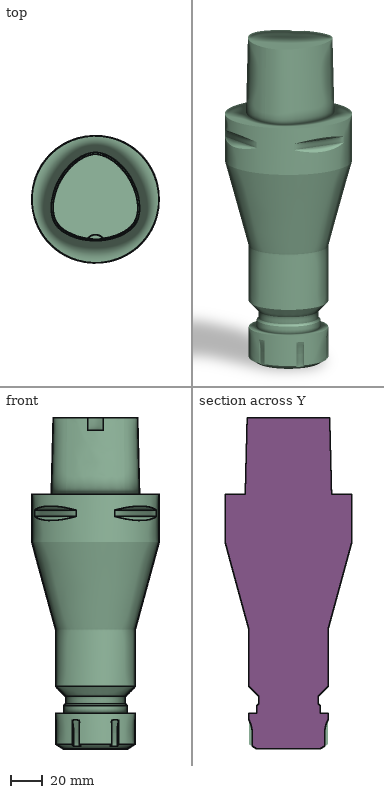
import cadquery as cq
import math

TOTAL_HEIGHT = 208.0
FLANGE_TOP = 160.0
FLANGE_BOTTOM = 130.0
BODY_TOP = 75.0
BODY_BOTTOM = 39.25
COLLAR_TOP = 27.25
NUT_TOP = 22.5
NUT_CHAMFER_HEIGHT = 3.0

FLANGE_RADIUS = 40.0
BODY_RADIUS = 25.0
NUT_RADIUS = 25.0
NECK_RADIUS = 18.75
COLLAR_RADIUS = 20.0
NUT_FACE_RADIUS = 20.0

NECK_TOP = BODY_BOTTOM - (BODY_RADIUS - NECK_RADIUS)
NECK_BOTTOM = COLLAR_TOP + (COLLAR_RADIUS - NECK_RADIUS)

SHANK_BASE_RADIUS = 27.75
SHANK_LOBE_RISE = 1.75
SHANK_HEIGHT = TOTAL_HEIGHT - FLANGE_TOP
SHANK_TAPER = 1 / 40
LOBE_COUNT = 3
FIRST_LOBE_ANGLE = 90.0
POINTS_PER_FACE = 7

NOTCH_RADIUS = 6.0
NOTCH_DEPTH = 8.0
NOTCH_CENTER_Y = -28.2

GROOVE_COUNT = 4
GROOVE_FIRST_ANGLE = 45.0
GROOVE_HEIGHT = 148.0
GROOVE_FLOOR_DISTANCE = 35.5
GROOVE_FLOOR_WIDTH = 3.9
GROOVE_FLANK_ANGLE = 30.0

SLOT_COUNT = 6
SLOT_WIDTH = 5.0
SLOT_FLOOR_DISTANCE = 22.9
SLOT_FLOOR_TOP = 10.1
SLOT_TOP = 18.3

CUT_MARGIN = 1.0


def make_turned_body():
    """Revolve the flange, cone, body, neck and nut about Z."""
    profile = [
        (0, 0),
        (NUT_FACE_RADIUS, 0),
        (NUT_RADIUS, NUT_CHAMFER_HEIGHT),
        (NUT_RADIUS, NUT_TOP),
        (COLLAR_RADIUS, NUT_TOP),
        (COLLAR_RADIUS, COLLAR_TOP),
        (NECK_RADIUS, NECK_BOTTOM),
        (NECK_RADIUS, NECK_TOP),
        (BODY_RADIUS, BODY_BOTTOM),
        (BODY_RADIUS, BODY_TOP),
        (FLANGE_RADIUS, FLANGE_BOTTOM),
        (FLANGE_RADIUS, FLANGE_TOP),
        (0, FLANGE_TOP),
    ]
    return cq.Workplane("XZ").polyline(profile).close().revolve(360, (0, 0), (0, 1))


def shank_point(normal_angle, mean_radius, height):
    """Point of the constant-width lobed outline whose outward normal has the given angle."""
    angle = math.radians(normal_angle)
    lobe_phase = LOBE_COUNT * math.radians(normal_angle - FIRST_LOBE_ANGLE)
    reach = mean_radius + SHANK_LOBE_RISE * math.cos(lobe_phase)
    sideways = -LOBE_COUNT * SHANK_LOBE_RISE * math.sin(lobe_phase)
    x = reach * math.cos(angle) - sideways * math.sin(angle)
    y = reach * math.sin(angle) + sideways * math.cos(angle)
    return cq.Vector(x, y, height)


def shank_outline(mean_radius, height):
    """Closed outline of alternating lobe and side curves."""
    face_count = 2 * LOBE_COUNT
    face_angle = 360 / face_count
    edges = []
    for face in range(face_count):
        start = FIRST_LOBE_ANGLE + (face - 0.5) * face_angle
        angles = [start + face_angle * i / (POINTS_PER_FACE - 1) for i in range(POINTS_PER_FACE)]
        tangents = [
            cq.Vector(-math.sin(math.radians(angle)), math.cos(math.radians(angle)), 0)
            for angle in (angles[0], angles[-1])
        ]
        points = [shank_point(angle, mean_radius, height) for angle in angles]
        edges.append(cq.Edge.makeSpline(points, tangents=tangents))
    return cq.Wire.assembleEdges(edges)


def make_shank():
    """Loft the lobed outline from the flange face to the smaller top."""
    base = shank_outline(SHANK_BASE_RADIUS, FLANGE_TOP)
    top = shank_outline(SHANK_BASE_RADIUS - SHANK_HEIGHT * SHANK_TAPER, TOTAL_HEIGHT)
    return cq.Workplane(cq.Solid.makeLoft([base, top], True))


def make_shank_notch():
    """Upright cylinder that cuts the notch from the shank top."""
    return (
        cq.Workplane("XY", origin=(0, NOTCH_CENTER_Y, TOTAL_HEIGHT - NOTCH_DEPTH))
        .circle(NOTCH_RADIUS)
        .extrude(NOTCH_DEPTH + CUT_MARGIN)
    )


def make_gripper_groove():
    """Trapezoid bar along Y, outside the groove floor on the +X side."""
    outer = FLANGE_RADIUS + CUT_MARGIN
    floor_half = GROOVE_FLOOR_WIDTH / 2
    flank_rise = (outer - GROOVE_FLOOR_DISTANCE) * math.tan(math.radians(GROOVE_FLANK_ANGLE))
    mouth_half = floor_half + flank_rise
    return (
        cq.Workplane("XZ")
        .moveTo(GROOVE_FLOOR_DISTANCE, GROOVE_HEIGHT - floor_half)
        .lineTo(outer, GROOVE_HEIGHT - mouth_half)
        .lineTo(outer, GROOVE_HEIGHT + mouth_half)
        .lineTo(GROOVE_FLOOR_DISTANCE, GROOVE_HEIGHT + floor_half)
        .close()
        .extrude(FLANGE_RADIUS, both=True)
    )


def make_spanner_slot():
    """Slot on the +X side: flat floor, then an arc tangent to it running out at the top."""
    outer = NUT_RADIUS + CUT_MARGIN
    depth = NUT_RADIUS - SLOT_FLOOR_DISTANCE
    runout_height = SLOT_TOP - SLOT_FLOOR_TOP
    runout_radius = (runout_height**2 + depth**2) / (2 * depth)
    half_angle = math.asin(runout_height / runout_radius) / 2
    arc_middle = (
        SLOT_FLOOR_DISTANCE + runout_radius * (1 - math.cos(half_angle)),
        SLOT_FLOOR_TOP + runout_radius * math.sin(half_angle),
    )
    return (
        cq.Workplane("XZ")
        .moveTo(SLOT_FLOOR_DISTANCE, -CUT_MARGIN)
        .lineTo(SLOT_FLOOR_DISTANCE, SLOT_FLOOR_TOP)
        .threePointArc(arc_middle, (NUT_RADIUS, SLOT_TOP))
        .lineTo(outer, SLOT_TOP)
        .lineTo(outer, -CUT_MARGIN)
        .close()
        .extrude(SLOT_WIDTH / 2, both=True)
    )


def cut_around(body, cutter, count, first_angle):
    """Cut equally spaced copies of the cutter around Z."""
    for i in range(count):
        angle = first_angle + i * 360 / count
        body = body.cut(cutter.rotate((0, 0, 0), (0, 0, 1), angle))
    return body


part = make_turned_body().union(make_shank())
part = part.cut(make_shank_notch())
part = cut_around(part, make_gripper_groove(), GROOVE_COUNT, GROOVE_FIRST_ANGLE)
part = cut_around(part, make_spanner_slot(), SLOT_COUNT, 0)
result = part